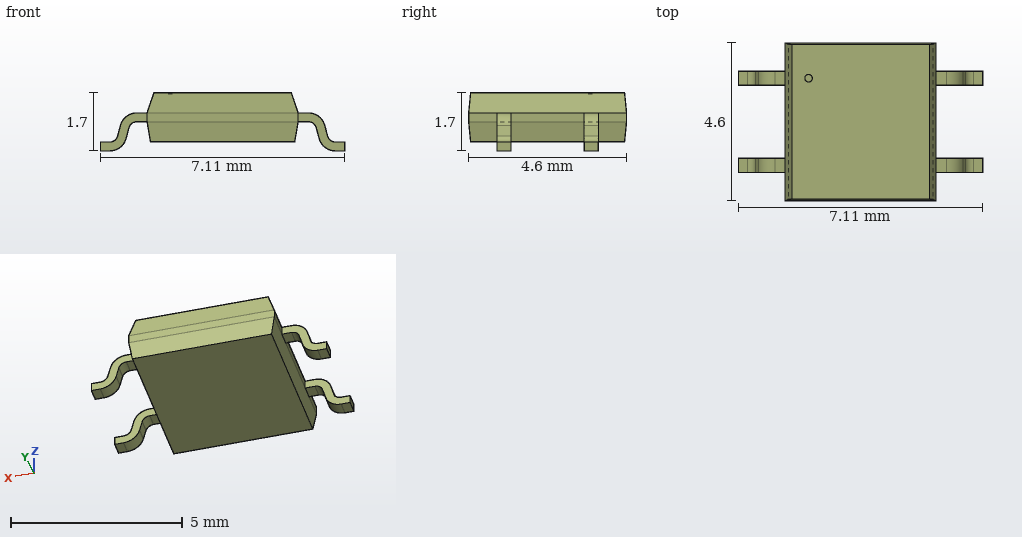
import cadquery as cq
import math

span = 7.11
total_height = 1.7
housing_length = 4.4
housing_width = 4.6
top_inset_x = 0.2
bottom_inset_x = 0.1
inset_y = 0.06

lead_thickness = 0.26
lead_width = 0.42
lead_pitch = 2.54
foot_length = 0.27
bend_angle = math.radians(75)
inner_bend_radius = 0.235

marker_diameter = 0.22
marker_depth = 0.035
marker_x = -1.515

housing_bottom = lead_thickness
waist_center = (housing_bottom + total_height) / 2
waist_bottom = waist_center - lead_thickness / 2
waist_top = waist_center + lead_thickness / 2
marker_y = lead_pitch / 2


def slab(z_low, size_low, z_high, size_high):
    """Loft between two centred rectangles at different heights."""
    return (
        cq.Workplane("XY")
        .workplane(offset=z_low)
        .rect(*size_low)
        .workplane(offset=z_high - z_low)
        .rect(*size_high)
        .loft(ruled=True)
    )


def make_marker():
    return (
        cq.Workplane("XY")
        .workplane(offset=total_height - marker_depth)
        .center(marker_x, marker_y)
        .circle(marker_diameter / 2)
        .extrude(marker_depth)
    )


def make_housing():
    """Moulded body tapering up and down from its waist, with a recess for the marker."""
    waist_size = (housing_length, housing_width)
    top_size = (housing_length - 2 * top_inset_x, housing_width - 2 * inset_y)
    bottom_size = (housing_length - 2 * bottom_inset_x, housing_width - 2 * inset_y)
    lower = slab(housing_bottom, bottom_size, waist_bottom, waist_size)
    waist = slab(waist_bottom, waist_size, waist_top, waist_size)
    upper = slab(waist_top, waist_size, total_height, top_size)
    return lower.union(waist).union(upper).cut(make_marker())


def make_left_lead(y):
    """Strip swept along an S-shaped centre line from the foot tip to the housing side."""
    radius = inner_bend_radius + lead_thickness / 2
    foot_z = lead_thickness / 2
    bend_run = radius * math.sin(bend_angle)
    bend_rise = radius * (1 - math.cos(bend_angle))
    half_bend_run = radius * math.sin(bend_angle / 2)
    half_bend_rise = radius * (1 - math.cos(bend_angle / 2))
    slope_rise = waist_center - foot_z - 2 * bend_rise
    slope_run = slope_rise / math.tan(bend_angle)

    lower_start_x = -span / 2 + foot_length
    upper_end_x = lower_start_x + 2 * bend_run + slope_run
    path = (
        cq.Workplane("XZ", origin=(0, y, 0))
        .moveTo(-span / 2, foot_z)
        .lineTo(lower_start_x, foot_z)
        .threePointArc(
            (lower_start_x + half_bend_run, foot_z + half_bend_rise),
            (lower_start_x + bend_run, foot_z + bend_rise),
        )
        .line(slope_run, slope_rise)
        .threePointArc(
            (upper_end_x - half_bend_run, waist_center - half_bend_rise),
            (upper_end_x, waist_center),
        )
        .lineTo(-housing_length / 2, waist_center)
    )
    section = cq.Workplane("YZ", origin=(-span / 2, y, foot_z)).rect(lead_width, lead_thickness)
    return section.sweep(path)


housing = make_housing()
marker = make_marker()
leads = []
for lead_y in (-lead_pitch / 2, lead_pitch / 2):
    left_lead = make_left_lead(lead_y)
    leads.append(left_lead.val())
    leads.append(left_lead.mirror("YZ").val())

result = cq.Compound.makeCompound([housing.val(), marker.val(), *leads])